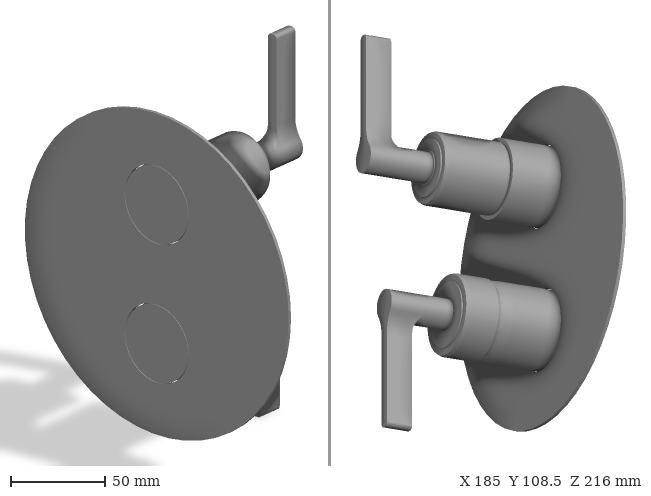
import cadquery as cq
import math

plate_diameter = 185.0
plate_thickness = 2.0
handle_offset = 40.0
sleeve_radius = 22.0
hole_clearance = 0.5
sleeve_end = 30.5

stem_radius = 8.5
lever_thickness = 6.0
lever_width = 15.1
lever_reach = 108.0 - handle_offset
lever_tip_radius = 2.2
flare_start = 16.5
root_fillet = 5.0

bevel_depth = 0.6

upper_tip = 108.5
upper_hub_radius = 19.9
upper_hub_end = 69.5
upper_bevel_length = 2.0
upper_base_chamfer = 0.6
upper_cap_radius = 15.8
upper_cap_end = 70.5
collar_radius = 9.5
collar_end = 71.0

lower_tip = 96.0
neck_radius = 21.2
neck_end = 39.0
lower_hub_radius = 22.5
lower_hub_end = 58.3
lower_bevel_length = 2.0
lower_cap_radius = 18.0
lower_cap_end = 59.0


def cylinder(radius, y_start, y_end):
    """Cylinder about the Y axis."""
    return cq.Workplane("XZ", origin=(0, y_start, 0)).circle(radius).extrude(y_start - y_end)


def revolve_about_y(profile):
    """Revolve a profile drawn as (radius, y) about the Y axis."""
    return profile.close().revolve(360, (0, 0, 0), (0, 1, 0))


def make_plate():
    plate = cylinder(plate_diameter / 2, 0, plate_thickness)
    hole = cylinder(sleeve_radius + hole_clearance, 0, plate_thickness)
    for z in (handle_offset, -handle_offset):
        plate = plate.cut(hole.translate((0, 0, z)))
    return plate


def make_lever(tip):
    """Upright lever that flares tangentially into the stem; the stem axis is the Y axis."""
    half = lever_thickness / 2
    inner_face = tip - lever_width
    flare_radius = (half**2 + flare_start**2 - stem_radius**2) / (2 * (stem_radius - half))
    centre_x = half + flare_radius
    reach = stem_radius / (stem_radius + flare_radius)
    foot = (centre_x * reach, flare_start * reach)
    mid_angle = math.pi + math.atan2(flare_start, centre_x) / 2
    mid = (centre_x + flare_radius * math.cos(mid_angle), flare_start + flare_radius * math.sin(mid_angle))
    blade = (
        cq.Workplane("XZ", origin=(0, tip, 0))
        .moveTo(0, 0)
        .lineTo(*foot)
        .threePointArc(mid, (half, flare_start))
        .lineTo(half, lever_reach)
        .lineTo(-half, lever_reach)
        .lineTo(-half, flare_start)
        .threePointArc((-mid[0], mid[1]), (-foot[0], foot[1]))
        .close()
        .extrude(lever_width + root_fillet)
        .edges("|Y and >Z")
        .fillet(lever_tip_radius)
    )
    sweep = root_fillet * math.sqrt(0.5)
    envelope = revolve_about_y(
        cq.Workplane("XY")
        .moveTo(0, inner_face - root_fillet)
        .lineTo(stem_radius, inner_face - root_fillet)
        .threePointArc(
            (stem_radius + root_fillet - sweep, inner_face - root_fillet + sweep),
            (stem_radius + root_fillet, inner_face),
        )
        .lineTo(2 * lever_reach, inner_face)
        .lineTo(2 * lever_reach, tip)
        .lineTo(0, tip)
    )
    return blade.intersect(envelope)


def make_upper_handle():
    sleeve = cylinder(sleeve_radius, 0, sleeve_end)
    hub = revolve_about_y(
        cq.Workplane("XY")
        .moveTo(0, sleeve_end)
        .lineTo(upper_hub_radius - upper_base_chamfer, sleeve_end)
        .lineTo(upper_hub_radius, sleeve_end + upper_base_chamfer)
        .lineTo(upper_hub_radius, upper_hub_end - upper_bevel_length)
        .lineTo(upper_hub_radius - bevel_depth, upper_hub_end)
        .lineTo(0, upper_hub_end)
    )
    cap = cylinder(upper_cap_radius, upper_hub_end, upper_cap_end)
    collar = cylinder(collar_radius, upper_cap_end, collar_end)
    stem = cylinder(stem_radius, collar_end, upper_tip)
    handle = sleeve.union(hub).union(cap).union(collar).union(stem).union(make_lever(upper_tip))
    return handle.translate((0, 0, handle_offset))


def make_lower_handle():
    body = revolve_about_y(
        cq.Workplane("XY")
        .lineTo(sleeve_radius, 0)
        .lineTo(sleeve_radius, sleeve_end)
        .tangentArcPoint((neck_radius, neck_end), relative=False)
        .lineTo(lower_hub_radius, neck_end)
        .lineTo(lower_hub_radius, lower_hub_end - lower_bevel_length)
        .lineTo(lower_hub_radius - bevel_depth, lower_hub_end)
        .lineTo(0, lower_hub_end)
    )
    cap = cylinder(lower_cap_radius, lower_hub_end, lower_cap_end)
    stem = cylinder(stem_radius, lower_cap_end, lower_tip)
    lever = make_lever(lower_tip).rotate((0, 0, 0), (0, 1, 0), 180)
    return body.union(cap).union(stem).union(lever).translate((0, 0, -handle_offset))


plate = make_plate()
upper_handle = make_upper_handle()
lower_handle = make_lower_handle()
result = cq.Compound.makeCompound([plate.val(), upper_handle.val(), lower_handle.val()])